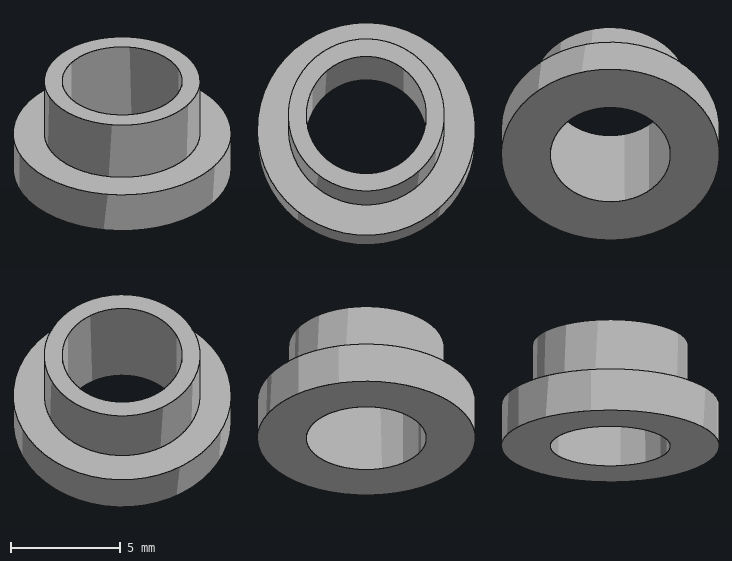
import cadquery as cq

flange_diameter = 10
flange_thickness = 2
sleeve_diameter = 7.15
bore_diameter = 5.5
total_height = 4.9

flange = cq.Workplane("XY").circle(flange_diameter / 2).extrude(flange_thickness)
sleeve = cq.Workplane("XY").circle(sleeve_diameter / 2).extrude(total_height)
bore = cq.Workplane("XY").circle(bore_diameter / 2).extrude(total_height)

result = flange.union(sleeve).cut(bore)